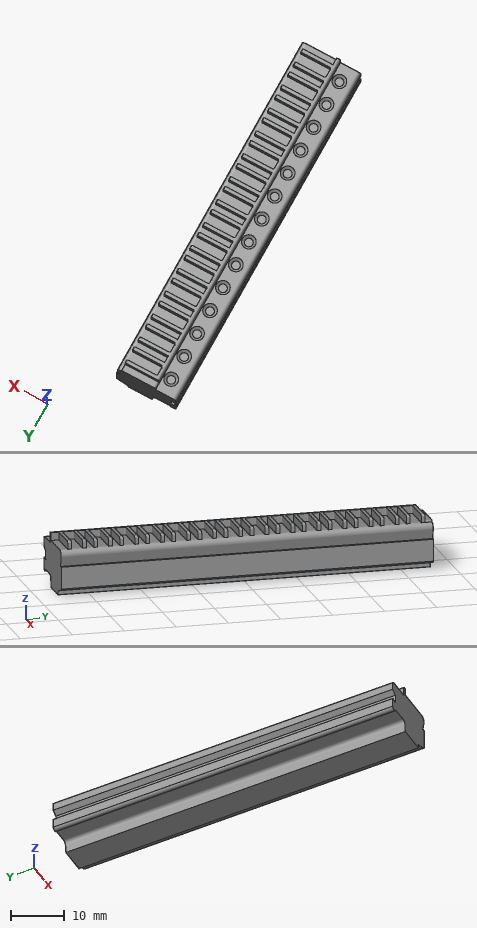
import cadquery as cq


width = 12.5
length = 71.5
height = 10.6

shelf_height = 8.6
shelf_round = 0.6
wall_x = 4.3
comb_end_x = 11.5

slot_depth = 1.1
slot_floor_z = 4.3
slot_back_top_z = 5.9
slot_mouth_top_z = 6.6
ridge_size = 0.2

ledge_z = 2.35
lip_bottom_z = 1.9
lip_width = 1.3

foot_start_x = 5.0
foot_root_x = 4.85
foot_end_x = 10.15
foot_round = 0.7
foot_end_height = 0.8

back_bottom_z = 1.8
back_corner_z = 1.4
back_corner_x = 12.1
notch_z = 6.0
notch_x = 11.95
nose_x = 12.4
nose_z = 7.9
nose_mid = (12.2, 8.6)

pitch = 5.0
pole_count = 14
first_pole_y = 3.3
wide_pocket = 2.15
fin = 0.7
narrow_pocket = pitch - wide_pocket - 2 * fin
pocket_start_x = 5.1
pocket_floor_z = 9.1
pocket_corner_round = 0.3
wall_top_round = 0.35
fin_end_round = 0.4

step_height = 9.45
step_round = 0.35
step_end_round = 0.2

hole_x = 2.7
hole_mouth_diameter = 2.7
hole_floor_diameter = 1.65
hole_depth = 0.5

last_pole_y = first_pole_y + (pole_count - 1) * pitch
comb_end_y = last_pole_y + wide_pocket / 2 + fin


def block(x0, x1, y0, y1, z0, z1):
    """Box between two opposite corners."""
    return cq.Workplane("XY").box(x1 - x0, y1 - y0, z1 - z0, centered=False).translate((x0, y0, z0))


def housing():
    """Cross-section up to the pocket floor, swept along the whole length."""
    profile = (
        cq.Workplane("XZ")
        .moveTo(foot_start_x, 0)
        .lineTo(foot_end_x, 0)
        .lineTo(foot_end_x, foot_end_height)
        .lineTo(back_corner_x, back_corner_z)
        .lineTo(width, back_bottom_z)
        .lineTo(width, notch_z)
        .lineTo(notch_x, notch_z)
        .lineTo(nose_x, nose_z)
        .threePointArc(nose_mid, (comb_end_x, pocket_floor_z))
        .lineTo(wall_x, pocket_floor_z)
        .lineTo(wall_x, shelf_height)
        .lineTo(shelf_round, shelf_height)
        .tangentArcPoint((-shelf_round, -shelf_round))
        .lineTo(0, slot_mouth_top_z)
        .lineTo(slot_depth, slot_back_top_z)
        .lineTo(slot_depth, slot_floor_z)
        .lineTo(2 * ridge_size, slot_floor_z)
        .lineTo(ridge_size, slot_floor_z + ridge_size)
        .lineTo(0, slot_floor_z)
        .lineTo(0, ledge_z)
        .threePointArc((lip_width / 2, lip_bottom_z), (lip_width, ledge_z))
        .lineTo(foot_root_x - foot_round, ledge_z)
        .tangentArcPoint((foot_round, -foot_round))
        .close()
    )
    return profile.extrude(-length)


def rounded_bar(y0, y1, top_z, wall_round, end_round):
    """Bar on top of the housing with rounded upper edges along Y."""
    bar = block(wall_x, comb_end_x, y0, y1, shelf_height, top_z)
    bar = bar.edges("|Y and >Z and <X").fillet(wall_round)
    return bar.edges("|Y and >Z and >X").fillet(end_round)


def pocket(y0, y1, corner_round=0):
    """Gap between two fins, open towards +X."""
    cut = block(pocket_start_x, width, y0, y1, pocket_floor_z, height)
    if corner_round:
        cut = cut.edges("|Z and <X").fillet(corner_round)
    return cut


def comb():
    """Tall wall with fins: one wide and one narrow pocket per pole."""
    bar = rounded_bar(0, comb_end_y, height, wall_top_round, fin_end_round)
    for index in range(pole_count):
        wide_start = first_pole_y + index * pitch - wide_pocket / 2
        narrow_end = wide_start - fin
        narrow_start = narrow_end - narrow_pocket if index else 0
        bar = bar.cut(pocket(wide_start, wide_start + wide_pocket, pocket_corner_round))
        bar = bar.cut(pocket(narrow_start, narrow_end))
    return bar


def screw_recess(y):
    """Tapered recess, wide at the shelf surface and narrow at its floor."""
    return cq.Solid.makeCone(
        hole_mouth_diameter / 2,
        hole_floor_diameter / 2,
        hole_depth,
        pnt=cq.Vector(hole_x, y, shelf_height),
        dir=cq.Vector(0, 0, -1),
    )


end_step = rounded_bar(comb_end_y, length, step_height, step_round, step_end_round)
result = housing().union(comb()).union(end_step)
for index in range(pole_count):
    result = result.cut(screw_recess(first_pole_y + index * pitch))